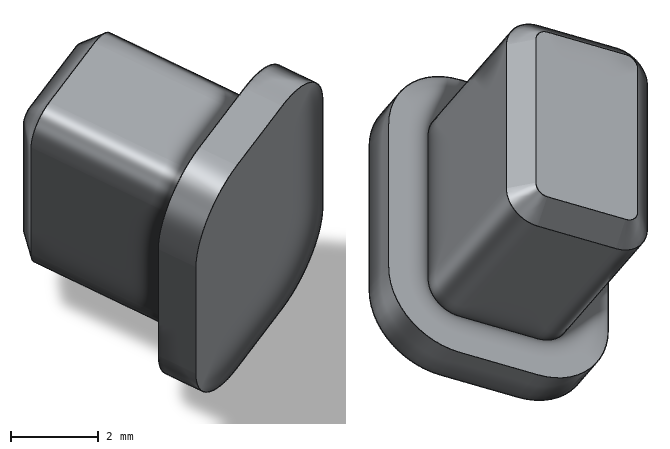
import cadquery as cq

total_length = 5.5
flange_width = 5.6
flange_height = 7.6
flange_thickness = 1.0
flange_margin = 1.0
plug_corner_radius = 0.8
tip_chamfer = 0.5

plug_width = flange_width - 2 * flange_margin
plug_height = flange_height - 2 * flange_margin
flange_corner_radius = plug_corner_radius + flange_margin


def rounded_block(length, width, height, corner_radius):
    """Block starting at X = 0, with its four edges along X rounded."""
    block = cq.Workplane("XY").box(length, width, height, centered=(False, True, True))
    return block.edges("|X").fillet(corner_radius)


plug = rounded_block(total_length, plug_width, plug_height, plug_corner_radius)
plug = plug.faces("<X").chamfer(tip_chamfer)

flange = rounded_block(flange_thickness, flange_width, flange_height, flange_corner_radius)
flange = flange.translate((total_length - flange_thickness, 0, 0))

result = plug.union(flange)